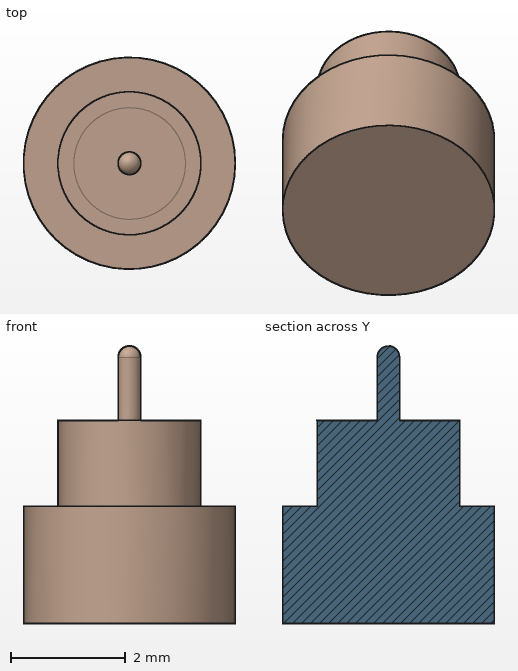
import cadquery as cq

total_height = 4.85
base_diameter = 3.7
base_height = 2.05
collar_diameter = 2.5
collar_height = 1.5
insert_diameter = 1.95
pin_diameter = 0.4

collar_top = base_height + collar_height
pin_radius = pin_diameter / 2
pin_height = total_height - collar_top


def cylinder(diameter, height, bottom):
    """Upright cylinder centred on the Z axis."""
    return cq.Workplane("XY").workplane(offset=bottom).circle(diameter / 2).extrude(height)


base = cylinder(base_diameter, base_height, 0)
insert = cylinder(insert_diameter, collar_height, base_height)
collar = cylinder(collar_diameter, collar_height, base_height).cut(insert)

pin = cylinder(pin_diameter, pin_height - pin_radius, collar_top)
tip = cq.Workplane("XY").sphere(pin_radius).translate((0, 0, total_height - pin_radius))
pin = pin.union(tip)

result = base.union(collar, clean=False).union(insert, clean=False).union(pin, clean=False)